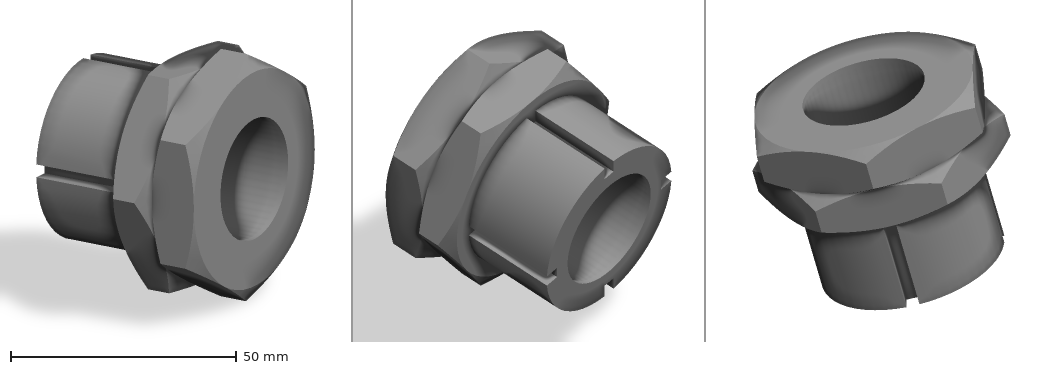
import cadquery as cq
import math

sleeve_diameter = 42.0
sleeve_length = 23.0
bore_diameter = 28.0
across_flats = 50.0
collar_width = 10.0
nut_width = 11.0
hexagon_sides = 6
chamfer_angle = 30.0
slot_width = 3.0
slot_depth = 3.5
slot_count = 4

across_corners = across_flats / math.cos(math.pi / hexagon_sides)
corner_radius = across_corners / 2
flat_radius = across_flats / 2
chamfer_length = (corner_radius - flat_radius) * math.tan(math.radians(chamfer_angle))
collar_start = sleeve_length
nut_start = collar_start + collar_width
nut_turn = 180 / hexagon_sides


def plane_at(x):
    """Plane across the axis: local x is +Y, local y is +Z, extrusion runs to +X."""
    return cq.Workplane("YZ", origin=(x, 0, 0))


def chamfered_hexagon(start, width, turn):
    """Hexagon with conical corner chamfers at both ends; turn 0 puts corners on the Y axis."""
    hexagon = plane_at(start).polygon(hexagon_sides, across_corners).extrude(width)
    hexagon = hexagon.rotate((0, 0, 0), (1, 0, 0), turn)
    end = start + width
    turned_blank = (
        cq.Workplane("XY")
        .moveTo(start, 0)
        .lineTo(start, flat_radius)
        .lineTo(start + chamfer_length, corner_radius)
        .lineTo(end - chamfer_length, corner_radius)
        .lineTo(end, flat_radius)
        .lineTo(end, 0)
        .close()
        .revolve(360, (0, 0, 0), (1, 0, 0))
    )
    return hexagon.intersect(turned_blank)


def bore(start, length):
    """Cutter for the through bore over one body's length."""
    return plane_at(start).circle(bore_diameter / 2).extrude(length)


def slotted_sleeve():
    """Round sleeve with slots along its whole outside, stopping at the collar."""
    sleeve_radius = sleeve_diameter / 2
    sleeve = plane_at(0).circle(sleeve_radius).extrude(sleeve_length)
    slot = plane_at(0).center(0, sleeve_radius).rect(slot_width, 2 * slot_depth).extrude(sleeve_length)
    for index in range(slot_count):
        sleeve = sleeve.cut(slot.rotate((0, 0, 0), (1, 0, 0), index * 360 / slot_count))
    return sleeve


def make_bushing():
    """Slotted sleeve with its hexagonal collar."""
    collar = chamfered_hexagon(collar_start, collar_width, 0)
    return slotted_sleeve().union(collar).cut(bore(0, nut_start))


def make_nut():
    """Hexagonal nut against the collar, turned so its corners lie over the collar flats."""
    return chamfered_hexagon(nut_start, nut_width, nut_turn).cut(bore(nut_start, nut_width))


bushing = make_bushing()
nut = make_nut()

result = cq.Compound.makeCompound([bushing.val(), nut.val()])